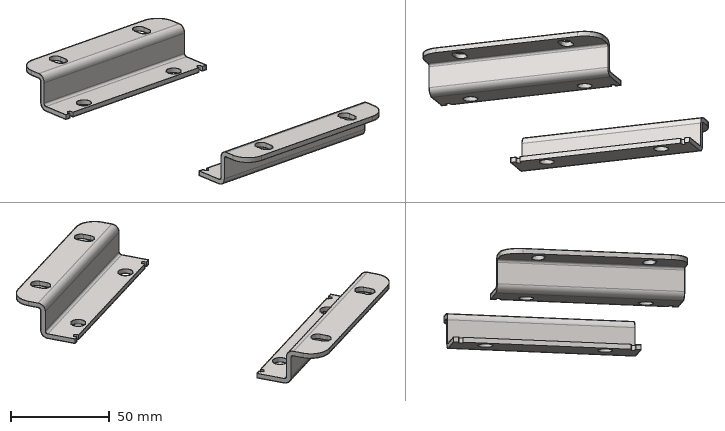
import cadquery as cq

overall_width = 170.8
bracket_length = 96.5
height = 19.0

bracket_width = 35.5
thickness = 2.5
inner_bend_radius = 1.4
outer_bend_radius = inner_bend_radius + thickness
web_outer_face = 16.7
web_inner_face = web_outer_face + thickness
corner_radius = 10.0

slot_x = 8.5
slot_spacing = 57.2
slot_length = 10.5
slot_width = 6.5

hole_x = 30.0
hole_spacing = 61.7
hole_diameter = 7.5

notch_spacing = 88.8
notch_depth = 2.4
notch_width = 2.2


def pair_along_y(x, spacing):
    """Two points at the given X, placed symmetrically about Y = 0."""
    return [(x, -spacing / 2), (x, spacing / 2)]


def make_folded_sheet():
    """Upper flange, vertical web and lower flange, with rounded bends."""
    sheet = (
        cq.Workplane("XZ")
        .moveTo(0, height)
        .lineTo(web_inner_face, height)
        .lineTo(web_inner_face, thickness)
        .lineTo(bracket_width, thickness)
        .lineTo(bracket_width, 0)
        .lineTo(web_outer_face, 0)
        .lineTo(web_outer_face, height - thickness)
        .lineTo(0, height - thickness)
        .close()
        .extrude(bracket_length / 2, both=True)
    )
    bends = [
        (web_inner_face, height, outer_bend_radius),
        (web_inner_face, thickness, inner_bend_radius),
        (web_outer_face, 0, outer_bend_radius),
        (web_outer_face, height - thickness, inner_bend_radius),
    ]
    for x, z, radius in bends:
        bend_edge = cq.selectors.NearestToPointSelector((x, 0, z))
        sheet = sheet.edges("|Y").edges(bend_edge).fillet(radius)
    return sheet


def make_openings():
    """Slots, holes and notches as upright prisms through the full height."""
    return (
        cq.Workplane("XY")
        .pushPoints(pair_along_y(slot_x, slot_spacing))
        .slot2D(slot_length, slot_width)
        .pushPoints(pair_along_y(hole_x, hole_spacing))
        .circle(hole_diameter / 2)
        .pushPoints(pair_along_y(bracket_width, notch_spacing))
        .slot2D(2 * notch_depth, notch_width)
        .extrude(height)
    )


def make_bracket():
    """Left-hand bracket in its final place."""
    bracket = make_folded_sheet()
    bracket = bracket.edges("|Z and <X").fillet(corner_radius)
    bracket = bracket.cut(make_openings())
    return bracket.translate((-overall_width / 2, 0, 0))


left_bracket = make_bracket()
brackets = [left_bracket, left_bracket.mirror("YZ")]

result = cq.Compound.makeCompound([bracket.val() for bracket in brackets])